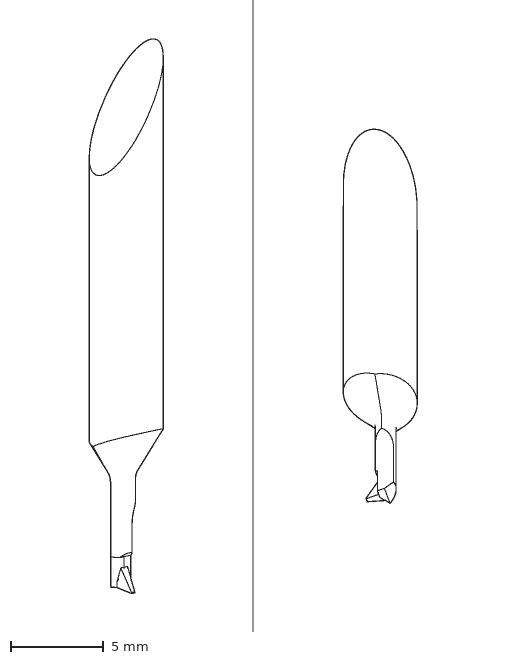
import cadquery as cq
import math

LENGTH = 30.7
SHANK_RADIUS = 2.0
NECK_RADIUS = 0.85
NECK_RIGHT_EDGE = 0.25
TAPER_BOTTOM = 6.4
TAPER_ANGLE = math.radians(30)
TAPER_BLEND = 1.1
TOP_ANGLE = math.radians(30)
MARGIN = 1.55

FLAT_Y = 0.25
RELIEF_TOP = 3.75
RELIEF_RADIUS = 1.55

HEEL_X, HEEL_Z = -0.92, 0.6
BREAK_X, BREAK_Z = -0.3, 0.18
TIP_X = 0.8

SEAT_X = 0.1
SEAT_Y = -0.2
GASH_X, GASH_Y = -0.37, -0.9
GASH_TOP = 1.9
GASH_RUNOUT = 0.2

TIP_ROOT_X, TIP_ROOT_Z = -0.12, 0.45
TIP_PEAK_X, TIP_PEAK_Z = 0.12, 1.32
TIP_FLANK_Y = -0.2
TIP_RAKE_Y = 0.0
TIP_EDGE_HEIGHT = 0.05


def tapered_round(axis_x, outer_radius):
    """Revolved neck with a blended 30 degree taper up to a round of the given radius."""
    half_angle = TAPER_ANGLE / 2
    tangent = TAPER_BLEND * math.tan(half_angle)
    taper_top = TAPER_BOTTOM + (outer_radius - NECK_RADIUS) / math.tan(TAPER_ANGLE)
    blend_center = NECK_RADIUS + TAPER_BLEND
    blend_bottom = TAPER_BOTTOM - tangent
    blend_middle = (
        blend_center - TAPER_BLEND * math.cos(half_angle),
        blend_bottom + TAPER_BLEND * math.sin(half_angle),
    )
    blend_end = (
        blend_center - TAPER_BLEND * math.cos(TAPER_ANGLE),
        blend_bottom + TAPER_BLEND * math.sin(TAPER_ANGLE),
    )
    profile = (
        cq.Workplane("XZ")
        .moveTo(0, 0)
        .lineTo(NECK_RADIUS, 0)
        .lineTo(NECK_RADIUS, blend_bottom)
        .threePointArc(blend_middle, blend_end)
        .lineTo(outer_radius, taper_top)
        .lineTo(outer_radius, LENGTH)
        .lineTo(0, LENGTH)
        .close()
    )
    return profile.revolve(360, (0, 0, 0), (0, 1, 0)).translate((axis_x, 0, 0))


def top_bevel():
    """Wedge above the slanted top face, which rises toward +Y."""
    rise = 2 * SHANK_RADIUS / math.tan(TOP_ANGLE)
    points = [(-SHANK_RADIUS, LENGTH - rise), (SHANK_RADIUS, LENGTH), (-SHANK_RADIUS, LENGTH)]
    return cq.Workplane("YZ").polyline(points).close().extrude(SHANK_RADIUS, both=True)


def neck_relief():
    """Cut that leaves a flat on the neck and runs out in an arc tangent to the flat."""
    outer_y = FLAT_Y + RELIEF_RADIUS
    middle = (
        outer_y - RELIEF_RADIUS * math.cos(math.pi / 4),
        RELIEF_TOP + RELIEF_RADIUS * math.sin(math.pi / 4),
    )
    return (
        cq.Workplane("YZ")
        .moveTo(FLAT_Y, 0)
        .lineTo(FLAT_Y, RELIEF_TOP)
        .threePointArc(middle, (outer_y, RELIEF_TOP + RELIEF_RADIUS))
        .lineTo(outer_y, 0)
        .close()
        .extrude(SHANK_RADIUS, both=True)
    )


def end_cut():
    """Material below the two sloped end faces."""
    points = [(HEEL_X, HEEL_Z), (BREAK_X, BREAK_Z), (TIP_X, 0), (HEEL_X, 0)]
    return cq.Workplane("XZ").polyline(points).close().extrude(MARGIN, both=True)


def tip_gash():
    """Pocket beside the seat, with a sloping runout at its upper end."""
    plan = [(GASH_X, GASH_Y), (SEAT_X, SEAT_Y), (SEAT_X, MARGIN), (MARGIN, MARGIN), (MARGIN, GASH_Y)]
    pocket = cq.Workplane("XY").polyline(plan).close().extrude(GASH_TOP + GASH_RUNOUT)
    ceiling = [
        (GASH_X, 0),
        (GASH_X, GASH_TOP),
        (SEAT_X, GASH_TOP),
        (NECK_RIGHT_EDGE, GASH_TOP + GASH_RUNOUT),
        (MARGIN, GASH_TOP + GASH_RUNOUT),
        (MARGIN, 0),
    ]
    return pocket.intersect(cq.Workplane("XZ").polyline(ceiling).close().extrude(MARGIN, both=True))


def make_bar():
    """Shank, eccentric taper and lens-shaped neck: the common part of two tapered rounds."""
    offset_axis = NECK_RIGHT_EDGE - NECK_RADIUS
    enclosing_radius = 2 * SHANK_RADIUS
    bar = tapered_round(0, SHANK_RADIUS).intersect(tapered_round(offset_axis, enclosing_radius))
    return bar.cut(top_bevel()).cut(neck_relief()).cut(end_cut()).cut(tip_gash())


def make_cutting_tip():
    """Pointed tip whose inner face lies against the seat in the gash."""
    side = [
        (TIP_ROOT_X, TIP_ROOT_Z),
        (TIP_PEAK_X, TIP_PEAK_Z),
        (TIP_X, TIP_EDGE_HEIGHT),
        (TIP_X, 0),
        (TIP_ROOT_X, BREAK_Z * (TIP_X - TIP_ROOT_X) / (TIP_X - BREAK_X)),
    ]
    blank = cq.Workplane("XZ").polyline(side).close().extrude(MARGIN, both=True)
    seat_fraction = (TIP_ROOT_X - GASH_X) / (SEAT_X - GASH_X)
    root_y = GASH_Y + seat_fraction * (SEAT_Y - GASH_Y)
    plan = [
        (TIP_ROOT_X, root_y),
        (SEAT_X, SEAT_Y),
        (SEAT_X, TIP_RAKE_Y),
        (TIP_X, TIP_RAKE_Y),
        (TIP_X, TIP_FLANK_Y),
    ]
    return blank.intersect(cq.Workplane("XY").polyline(plan).close().extrude(TIP_PEAK_Z))


bar = make_bar()
cutting_tip = make_cutting_tip()

result = cq.Compound.makeCompound([bar.val(), cutting_tip.val()])